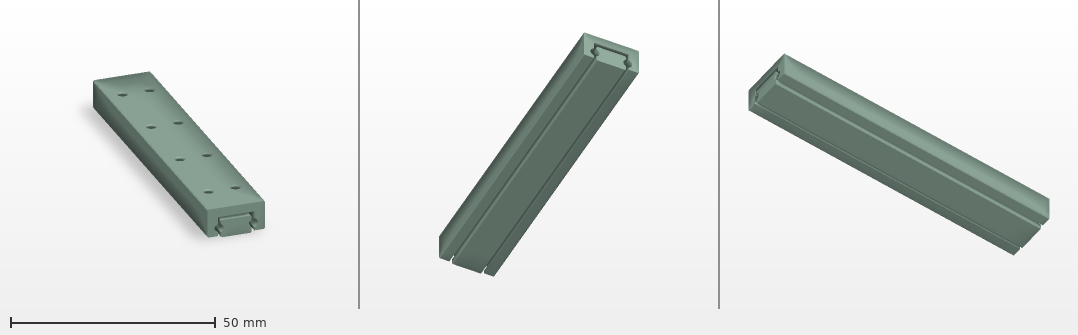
import cadquery as cq

length = 80.0
total_height = 8.0

carriage_width = 15.0
carriage_bottom = 0.5
carriage_chamfer = 0.2
channel_width = 9.4
channel_ceiling = 5.6

rail_width = 8.0
rail_height = 4.6
rail_chamfer = 0.2

raceway_diameter = 2.4
raceway_offset = 4.5
raceway_height = 2.5

hole_diameter = 2.0
countersink_diameter = 2.7
countersink_angle = 90.0
hole_columns = 4
hole_pitch = length / hole_columns
hole_row_spacing = 7.0


def bar(width, bottom, top):
    """Full-length bar centred on X and Y, from height bottom to height top."""
    return (
        cq.Workplane("XY", origin=(0, 0, bottom))
        .box(length, width, top - bottom, centered=(True, True, False))
    )


def make_raceways():
    """Two full-length cylinders, one along each side of the rail."""
    return (
        cq.Workplane("YZ", origin=(-length / 2, 0, raceway_height))
        .pushPoints([(-raceway_offset, 0), (raceway_offset, 0)])
        .circle(raceway_diameter / 2)
        .extrude(length)
    )


def make_carriage():
    body = bar(carriage_width, carriage_bottom, total_height)
    body = body.edges("|X").chamfer(carriage_chamfer)
    body = body.cut(bar(channel_width, carriage_bottom, channel_ceiling))
    body = body.cut(make_raceways())
    roof_depth = total_height - channel_ceiling
    return (
        body.faces(">Z").workplane(origin=(0, 0, total_height))
        .rarray(hole_pitch, hole_row_spacing, hole_columns, 2)
        .cskHole(hole_diameter, countersink_diameter, countersink_angle, depth=roof_depth)
    )


def make_rail():
    body = bar(rail_width, 0, rail_height)
    body = body.edges("|X").chamfer(rail_chamfer)
    return body.cut(make_raceways())


carriage = make_carriage()
rail = make_rail()

result = cq.Compound.makeCompound([carriage.val(), rail.val()])